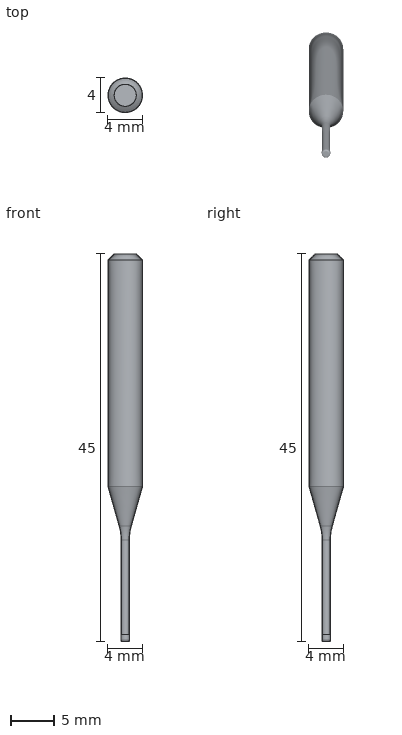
import cadquery as cq
import math

total_length = 45.0
shank_diameter = 4.0
shank_radius = shank_diameter / 2
shank_chamfer = 0.7

cone_top_z = 18.0
neck_top_z = 11.8
neck_diameter = 0.95
neck_radius = neck_diameter / 2
blend_radius = 6.0

cutter_length = 0.8
cutter_diameter = 1.0
cutter_radius = cutter_diameter / 2
cutter_corner_radius = 0.2

blend_center_r = neck_radius + blend_radius
rise = cone_top_z - neck_top_z
inset = blend_center_r - shank_radius
center_distance = math.hypot(rise, inset)
cone_half_angle = math.atan2(rise, inset) - math.acos(blend_radius / center_distance)


def blend_point(angle):
    """Point (radius, Z) on the blend arc, at an angle above its start on the neck."""
    radius = blend_center_r - blend_radius * math.cos(angle)
    return radius, neck_top_z + blend_radius * math.sin(angle)


def make_holder():
    """Shank, cone, blend and neck, turned as one body above the cutting head."""
    profile = (
        cq.Workplane("XZ")
        .moveTo(0, cutter_length)
        .lineTo(neck_radius, cutter_length)
        .lineTo(neck_radius, neck_top_z)
        .threePointArc(blend_point(cone_half_angle / 2), blend_point(cone_half_angle))
        .lineTo(shank_radius, cone_top_z)
        .lineTo(shank_radius, total_length)
        .lineTo(0, total_length)
        .close()
    )
    holder = profile.revolve(360, (0, 0, 0), (0, 1, 0))
    return holder.faces(">Z").edges().chamfer(shank_chamfer)


def make_cutter():
    """Short cutting head, slightly wider than the neck, with a rounded lower corner."""
    cutter = cq.Workplane("XY").circle(cutter_radius).extrude(cutter_length)
    return cutter.faces("<Z").edges().fillet(cutter_corner_radius)


holder = make_holder()
cutter = make_cutter()

result = cq.Compound.makeCompound([holder.val(), cutter.val()])